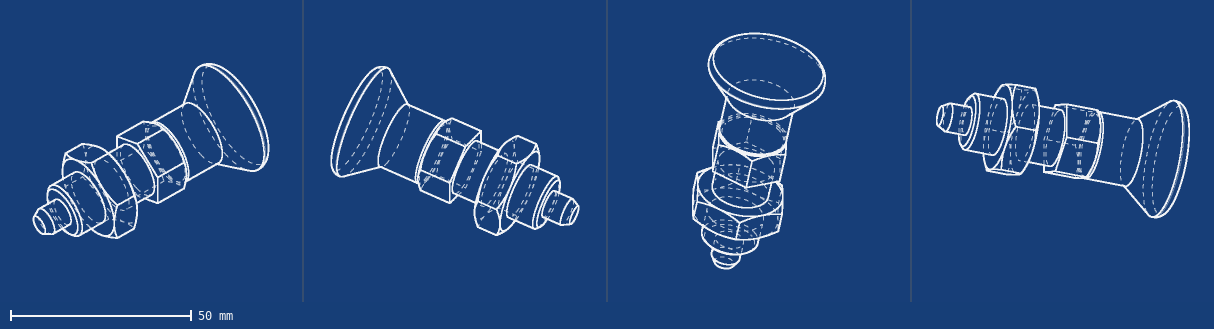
import cadquery as cq
import math

total_length = 68.0

pin_diameter = 8.0
pin_tip_diameter = 5.6
pin_taper_length = 2.3
pin_length = 8.0

body_diameter = 16.0
body_chamfer = 0.9

nut_start = 17.0
nut_thickness = 8.0
nut_across_flats = 24.0
hex_start = 34.0
hex_length = 10.0
hex_across_flats = 19.0
corner_chamfer_angle = 30.0

knob_diameter = 33.0
knob_face_diameter = 31.0
knob_neck_diameter = 19.0
knob_neck_chamfer = 0.75
knob_neck_length = 12.45
rim_round_length = 1.9
rim_band_length = 0.4

hex_end = hex_start + hex_length
cone_start = hex_end + knob_neck_length


def revolve_profile(profile):
    """Turn a closed (radius, Y) profile about the Y axis."""
    return profile.close().revolve(360, (0, 0, 0), (0, 1, 0))


def make_hexagon(start, length, across_flats, chamfer_start):
    """Hexagon with corners on +-Z; its +Y corners, and optionally its -Y ones, are coned off."""
    corner_radius = across_flats / math.sqrt(3)
    face_radius = across_flats / 2
    chamfer_depth = (corner_radius - face_radius) * math.tan(math.radians(corner_chamfer_angle))
    end = start + length
    corners = []
    for i in range(6):
        angle = math.radians(90 + 60 * i)
        corners.append((corner_radius * math.cos(angle), corner_radius * math.sin(angle)))
    prism = cq.Workplane("XZ", origin=(0, start, 0)).polyline(corners).close().extrude(-length)

    envelope = cq.Workplane("XY").moveTo(0, start)
    if chamfer_start:
        envelope = envelope.lineTo(face_radius, start).lineTo(corner_radius, start + chamfer_depth)
    else:
        envelope = envelope.lineTo(corner_radius, start)
    envelope = envelope.lineTo(corner_radius, end - chamfer_depth).lineTo(face_radius, end).lineTo(0, end)
    return prism.intersect(revolve_profile(envelope))


def make_pin_and_body():
    """Tapered pin stepping up to the chamfered cylindrical body."""
    pin_radius = pin_diameter / 2
    body_radius = body_diameter / 2
    profile = (
        cq.Workplane("XY")
        .moveTo(0, 0)
        .lineTo(pin_tip_diameter / 2, 0)
        .lineTo(pin_radius, pin_taper_length)
        .lineTo(pin_radius, pin_length)
        .lineTo(body_radius - body_chamfer, pin_length)
        .lineTo(body_radius, pin_length + body_chamfer)
        .lineTo(body_radius, hex_end)
        .lineTo(0, hex_end)
    )
    return revolve_profile(profile)


def make_knob():
    """Flared knob with a chamfered neck and a rounded rim."""
    neck_radius = knob_neck_diameter / 2
    rim_radius = knob_diameter / 2
    rim_round_start = total_length - rim_round_length
    profile = (
        cq.Workplane("XY")
        .moveTo(0, hex_end)
        .lineTo(neck_radius - knob_neck_chamfer, hex_end)
        .lineTo(neck_radius, hex_end + knob_neck_chamfer)
        .lineTo(neck_radius, cone_start)
        .lineTo(rim_radius, rim_round_start - rim_band_length)
        .lineTo(rim_radius, rim_round_start)
        .tangentArcPoint((knob_face_diameter / 2, total_length), relative=False)
        .lineTo(0, total_length)
    )
    return revolve_profile(profile)


lock_nut = make_hexagon(nut_start, nut_thickness, nut_across_flats, chamfer_start=True)
body_hexagon = make_hexagon(hex_start, hex_length, hex_across_flats, chamfer_start=False)
plunger = make_pin_and_body().union(lock_nut).union(body_hexagon).union(make_knob())

result = plunger.translate((0, -total_length / 2, 0))